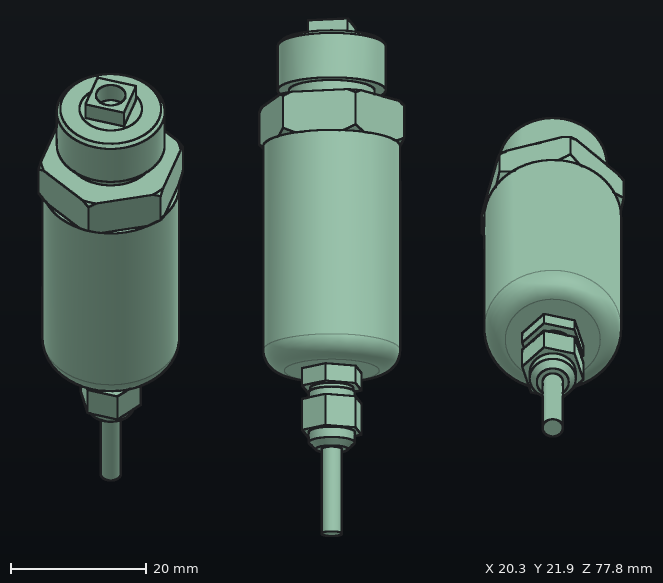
import cadquery as cq
import math

TOTAL_HEIGHT = 77.75
HEAD_TOP = 74.95
HEAD_BOTTOM = 67.65
COLLAR_TOP = 65.3
COLLAR_BOTTOM = 59.1
BARREL_BOTTOM = 24.9
GLAND_BASE_BOTTOM = 22.2
GLAND_GROOVE_BOTTOM = 21.6
GLAND_NUT_TOP = 20.2
GLAND_NUT_BOTTOM = 15.5
GLAND_CONE_TOP = 13.9
GLAND_CONE_BOTTOM = 12.9

HEAD_DIAMETER = 16.0
HEAD_CHAMFER = 0.55
NECK_DIAMETER = 12.7
COLLAR_CORNERS = 21.9
COLLAR_TOP_CHAMFER = 0.55
BARREL_DIAMETER = 20.3
BARREL_FILLET = 3.1

GLAND_CORNERS = 9.3
GLAND_GROOVE_DIAMETER = 6.4
GLAND_DIAMETER = 6.85
GLAND_TIP_DIAMETER = 4.75
CABLE_DIAMETER = 3.0

SHANK_DIAMETER = 9.25
SQUARE_SIDE = 6.0
DRILL_DIAMETER = 4.35
DRILL_DEPTH = 3.1
DRILL_TIP_ANGLE = 118.0


def cylinder(diameter, bottom, top):
    return cq.Workplane("XY").workplane(offset=bottom).circle(diameter / 2).extrude(top - bottom)


def cone(bottom_diameter, top_diameter, bottom, top):
    solid = cq.Solid.makeCone(bottom_diameter / 2, top_diameter / 2, top - bottom, cq.Vector(0, 0, bottom))
    return cq.Workplane(solid)


def hexagon(corners, bottom, top, turn=0):
    prism = cq.Workplane("XY").workplane(offset=bottom).polygon(6, corners).extrude(top - bottom)
    return prism.rotate((0, 0, 0), (0, 0, 1), turn)


def make_collar():
    """Hexagon with corners on Y, turned down to the barrel below and lightly chamfered above."""
    bottom_chamfer = (COLLAR_CORNERS - BARREL_DIAMETER) / 2
    envelope = (
        cylinder(COLLAR_CORNERS, COLLAR_BOTTOM, COLLAR_TOP)
        .faces("<Z").chamfer(bottom_chamfer)
        .faces(">Z").chamfer(COLLAR_TOP_CHAMFER)
    )
    return hexagon(COLLAR_CORNERS, COLLAR_BOTTOM, COLLAR_TOP, turn=30).intersect(envelope)


def make_gland():
    """Hexagonal base, groove, nut and tapered tip, with the cable leaving downwards."""
    return (
        hexagon(GLAND_CORNERS, GLAND_BASE_BOTTOM, BARREL_BOTTOM)
        .union(cylinder(GLAND_GROOVE_DIAMETER, GLAND_GROOVE_BOTTOM, GLAND_BASE_BOTTOM))
        .union(cylinder(GLAND_DIAMETER, GLAND_CONE_TOP, GLAND_GROOVE_BOTTOM))
        .union(hexagon(GLAND_CORNERS, GLAND_NUT_BOTTOM, GLAND_NUT_TOP))
        .union(cone(GLAND_TIP_DIAMETER, GLAND_DIAMETER, GLAND_CONE_BOTTOM, GLAND_CONE_TOP))
        .union(cylinder(CABLE_DIAMETER, 0, GLAND_CONE_BOTTOM))
    )


def make_housing():
    head = cylinder(HEAD_DIAMETER, HEAD_BOTTOM, HEAD_TOP).faces(">Z").chamfer(HEAD_CHAMFER)
    neck = cylinder(NECK_DIAMETER, COLLAR_TOP, HEAD_BOTTOM)
    barrel = cylinder(BARREL_DIAMETER, BARREL_BOTTOM, COLLAR_BOTTOM).faces("<Z").edges().fillet(BARREL_FILLET)
    spindle_bore = cylinder(SHANK_DIAMETER, HEAD_BOTTOM, HEAD_TOP)
    body = head.union(neck).union(make_collar()).union(barrel).union(make_gland())
    return body.cut(spindle_bore)


def make_spindle():
    shank = cylinder(SHANK_DIAMETER, HEAD_BOTTOM, HEAD_TOP)
    square = (
        cq.Workplane("XY").workplane(offset=HEAD_TOP)
        .rect(SQUARE_SIDE, SQUARE_SIDE).extrude(TOTAL_HEIGHT - HEAD_TOP)
    )
    drill_floor = TOTAL_HEIGHT - DRILL_DEPTH
    tip_height = DRILL_DIAMETER / 2 / math.tan(math.radians(DRILL_TIP_ANGLE / 2))
    drill = cylinder(DRILL_DIAMETER, drill_floor, TOTAL_HEIGHT)
    drill_tip = cone(0, DRILL_DIAMETER, drill_floor - tip_height, drill_floor)
    return shank.union(square).cut(drill.union(drill_tip))


housing = make_housing()
spindle = make_spindle()
result = cq.Compound.makeCompound([housing.val(), spindle.val()])